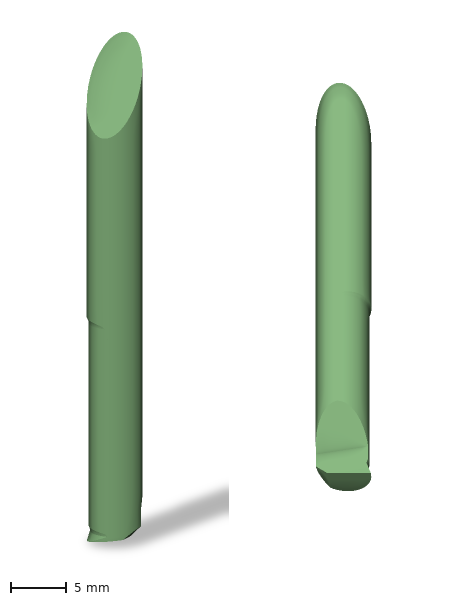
import cadquery as cq
import math

DIAMETER = 5.0
RADIUS = DIAMETER / 2
LENGTH = 46.6
END_ANGLE = 60.0

RELIEF_SHIFT = 0.2
RELIEF_TOP = 20.3
RUNOUT_RADIUS = 0.95

NECK_SHIFT = 0.305
NECK_RADIUS = 2.45
NECK_BOTTOM = 1.1
NECK_RUNOUT_RADIUS = 0.95
FLARE_RADIUS = 2.8

RAKE_Y = 0.2
RAKE_TOP = 3.15
RAKE_BEVEL_TOP = 0.5
END_CLEARANCE = 9.0
FLANK_CLEARANCE = 5.0
CORNER_CHAMFER_TOP = 1.7
TIP_SIDE_X = 0.33

MARGIN = 0.95
OUTER = RADIUS + MARGIN


def profile_cutter(plane, points):
    """Prism through the whole part, symmetric about the given plane."""
    return cq.Workplane(plane).polyline(points).close().extrude(OUTER, both=True)


def make_blank():
    """Round bar with its upper end sawn off, highest on the +Y side."""
    bar = cq.Workplane("XY").circle(RADIUS).extrude(LENGTH)
    low_side = LENGTH - DIAMETER * math.tan(math.radians(END_ANGLE))
    overshoot = MARGIN * math.tan(math.radians(END_ANGLE))
    points = [
        (-OUTER, low_side - overshoot),
        (OUTER, LENGTH + overshoot),
        (-OUTER, LENGTH + overshoot),
    ]
    return bar.cut(profile_cutter("YZ", points))


def ring_cutter(profile, shift):
    """Revolve a radius/height profile about a vertical axis displaced along X."""
    return profile.close().revolve(360, (0, 0, 0), (0, 1, 0)).translate((shift, 0, 0))


def runout_arc(profile, radius, bottom, arc_radius):
    """Concave quarter arc that runs tangentially out of a cylinder."""
    half = math.sqrt(0.5)
    middle = (radius + arc_radius * (1 - half), bottom + arc_radius * half)
    return profile.threePointArc(middle, (radius + arc_radius, bottom + arc_radius))


def relief_cutter():
    profile = cq.Workplane("XZ").moveTo(RADIUS, -MARGIN).lineTo(RADIUS, RELIEF_TOP)
    profile = runout_arc(profile, RADIUS, RELIEF_TOP, RUNOUT_RADIUS)
    return ring_cutter(profile.lineTo(RADIUS + RUNOUT_RADIUS, -MARGIN), RELIEF_SHIFT)


def relief_region():
    """Relief stops at the neck, so that the flare below can reach the full radius."""
    below = cq.Workplane("XY").circle(2 * OUTER).extrude(NECK_BOTTOM)
    return relief_cutter().cut(below)


def neck_cutter():
    profile = cq.Workplane("XZ").moveTo(FLARE_RADIUS, 0)
    profile = profile.lineTo(NECK_RADIUS, NECK_BOTTOM)
    profile = runout_arc(profile, NECK_RADIUS, NECK_BOTTOM, NECK_RUNOUT_RADIUS)
    outer_radius = FLARE_RADIUS + MARGIN
    return ring_cutter(profile.lineTo(outer_radius, 0), NECK_SHIFT)


def rake_cutter():
    """Removes the +Y half at the cutting end, down to the rake face."""
    runout_top = RAKE_TOP + (OUTER - RAKE_Y) * math.tan(math.radians(END_ANGLE))
    points = [
        (0, 0),
        (RAKE_Y, RAKE_BEVEL_TOP),
        (RAKE_Y, RAKE_TOP),
        (OUTER, runout_top),
        (OUTER, 0),
    ]
    return profile_cutter("YZ", points)


def end_cutter():
    """Half space below the end face, which rises from the cutting point at -X."""
    rise_x = math.tan(math.radians(END_CLEARANCE))
    rise_y = -math.tan(math.radians(FLANK_CLEARANCE))
    plane = cq.Plane(origin=(-RADIUS, 0, 0), xDir=(0, 1, rise_y), normal=(rise_x, rise_y, -1))
    return cq.Workplane(plane).circle(4 * OUTER).extrude(OUTER)


def corner_cutter():
    """45 degree chamfer across the +X corner of the cutting end."""
    points = [
        (OUTER, CORNER_CHAMFER_TOP + MARGIN),
        (RADIUS - CORNER_CHAMFER_TOP, 0),
        (OUTER, 0),
    ]
    return profile_cutter("XZ", points)


def make_bar():
    """Complete outer shape shared by the holder and the tip."""
    bar = make_blank()
    for cutter in (relief_region(), neck_cutter(), rake_cutter(), end_cutter(), corner_cutter()):
        bar = bar.cut(cutter)
    return bar


def tip_envelope():
    """Block below the neck that holds the cutting tip."""
    points = [
        (-OUTER, 0),
        (TIP_SIDE_X, 0),
        (TIP_SIDE_X, NECK_BOTTOM),
        (-OUTER, NECK_BOTTOM),
    ]
    return profile_cutter("XZ", points)


bar = make_bar()
holder = bar.cut(tip_envelope())
tip = bar.intersect(tip_envelope())

result = cq.Compound.makeCompound([*holder.solids().vals(), *tip.solids().vals()])